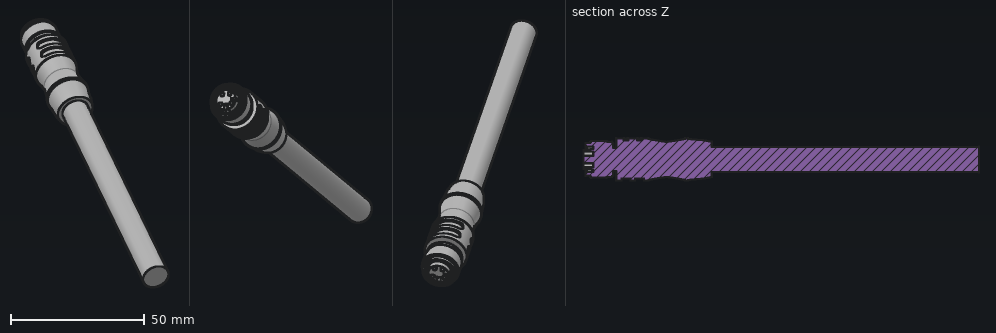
import cadquery as cq
import math

total_length = 148.7
overlap = 0.7

insert_tip_radius = 3.9
insert_base_radius = 4.3
nut_start = 0.7
nut_nose_radius = 6.4
collar_start = 2.5
collar_end = 9.0
collar_radius = 7.1
collar_chamfer = 0.5
nut_tail_radius = 6.8
nut_end = 11.3
nut_end_chamfer = 0.6
neck_radius = 4.6

grip_start = 12.3
sleeve_end = 24.5
grip_radius = 16.2 / 2
waist_radius = 6.8
waist_position = 31.2
waist_sag = 0.07
band_start = 38.2
band_end = 39.3
band_step = 0.1
shoulder_radius = grip_radius - band_step
tail_end = 48.3
tail_end_radius = 6.8
tail_bulge = 0.3
cable_radius = 5.0

gap_outer_radius = 4.9
gap_chamfer = 0.6
gap_depth = 3.0
gap_end = nut_start + gap_depth
insert_taper = (insert_base_radius - insert_tip_radius) / gap_end
insert_mouth_radius = insert_tip_radius + insert_taper * nut_start

contact_radius = 0.7
contact_circle_radius = 2.7
contact_depth = gap_end
contact_angles = [56, 124, 215, 325]
earth_width = 1.5
earth_height = 2.2
key_width = 0.9
key_inner_radius = 2.0

slot_depth = 0.7
slot_width = 3.3
slot_positions = [16.0, 21.1]
slot_sweep = 139.0
slot_start_angles = [-12, 168]


def polar(radius, angle):
    """Y and Z of a point at an angle about the X axis."""
    return radius * math.cos(math.radians(angle)), radius * math.sin(math.radians(angle))


def turned_body():
    flank_middle_radius = (shoulder_radius + waist_radius) / 2 - waist_sag
    front_flank_middle = (sleeve_end + waist_position) / 2
    rear_flank_middle = (waist_position + band_start) / 2
    tail_middle = (band_end + tail_end) / 2
    tail_middle_radius = (shoulder_radius + tail_end_radius) / 2 + tail_bulge
    profile = (
        cq.Workplane("XY")
        .lineTo(0, insert_tip_radius)
        .lineTo(nut_start, insert_mouth_radius)
        .lineTo(nut_start, nut_nose_radius)
        .lineTo(collar_start, nut_nose_radius)
        .lineTo(collar_start, collar_radius - collar_chamfer)
        .lineTo(collar_start + collar_chamfer, collar_radius)
        .lineTo(collar_end - collar_chamfer, collar_radius)
        .lineTo(collar_end, nut_tail_radius)
        .lineTo(nut_end - nut_end_chamfer, nut_tail_radius)
        .lineTo(nut_end, nut_tail_radius - nut_end_chamfer)
        .lineTo(nut_end, neck_radius)
        .lineTo(grip_start, neck_radius)
        .lineTo(grip_start, grip_radius)
        .lineTo(sleeve_end, grip_radius)
        .lineTo(sleeve_end, shoulder_radius)
        .threePointArc((front_flank_middle, flank_middle_radius), (waist_position, waist_radius))
        .threePointArc((rear_flank_middle, flank_middle_radius), (band_start, shoulder_radius))
        .lineTo(band_start, grip_radius)
        .lineTo(band_end, grip_radius)
        .lineTo(band_end, shoulder_radius)
        .threePointArc((tail_middle, tail_middle_radius), (tail_end, tail_end_radius))
        .lineTo(tail_end, cable_radius)
        .lineTo(total_length, cable_radius)
        .lineTo(total_length, 0)
        .close()
    )
    return profile.revolve(360, (0, 0, 0), (1, 0, 0))


def insert_gap():
    """Ring-shaped gap around the tapered insert, with a chamfered mouth."""
    section = (
        cq.Workplane("XY")
        .moveTo(nut_start, insert_mouth_radius)
        .lineTo(nut_start, gap_outer_radius + gap_chamfer)
        .lineTo(nut_start + gap_chamfer, gap_outer_radius)
        .lineTo(gap_end, gap_outer_radius)
        .lineTo(gap_end, insert_base_radius)
        .close()
    )
    return section.revolve(360, (0, 0, 0), (1, 0, 0))


def contact_openings():
    """Round contacts, the earth contact below them and the key groove on the -Y side."""
    face = cq.Workplane("YZ")
    contacts = (
        face.pushPoints([polar(contact_circle_radius, angle) for angle in contact_angles])
        .circle(contact_radius)
        .extrude(contact_depth)
    )
    earth = (
        face.center(0, -contact_circle_radius)
        .rect(earth_width, earth_height)
        .extrude(contact_depth)
    )
    key_length = insert_base_radius - key_inner_radius
    key = (
        cq.Workplane("YZ")
        .center(-key_inner_radius - key_length / 2, 0)
        .rect(key_length, key_width)
        .extrude(contact_depth)
    )
    return contacts.union(earth).union(key)


def grip_slot(position, start_angle):
    """Slot with round ends, wrapped around the sleeve from its start angle."""
    cutter_radius = grip_radius + overlap
    end_radius = slot_width / 2
    end_angle = math.degrees(math.asin(end_radius / grip_radius))
    first_angle = start_angle + end_angle
    swept_angle = slot_sweep - 2 * end_angle
    slot = (
        cq.Workplane("XY")
        .center(position, cutter_radius / 2)
        .rect(slot_width, cutter_radius)
        .revolve(swept_angle, (0, -cutter_radius / 2, 0), (1, -cutter_radius / 2, 0))
        .rotate((0, 0, 0), (1, 0, 0), first_angle)
    )
    for angle in (first_angle, first_angle + swept_angle):
        round_end = (
            cq.Workplane("XZ", origin=(position, 0, 0))
            .circle(end_radius)
            .extrude(-cutter_radius)
            .rotate((0, 0, 0), (1, 0, 0), angle)
        )
        slot = slot.union(round_end)
    core = (
        cq.Workplane("YZ", origin=(position - slot_width, 0, 0))
        .circle(grip_radius - slot_depth)
        .extrude(2 * slot_width)
    )
    return slot.cut(core)


result = turned_body().cut(insert_gap()).cut(contact_openings())
for slot_position in slot_positions:
    for slot_start_angle in slot_start_angles:
        result = result.cut(grip_slot(slot_position, slot_start_angle))